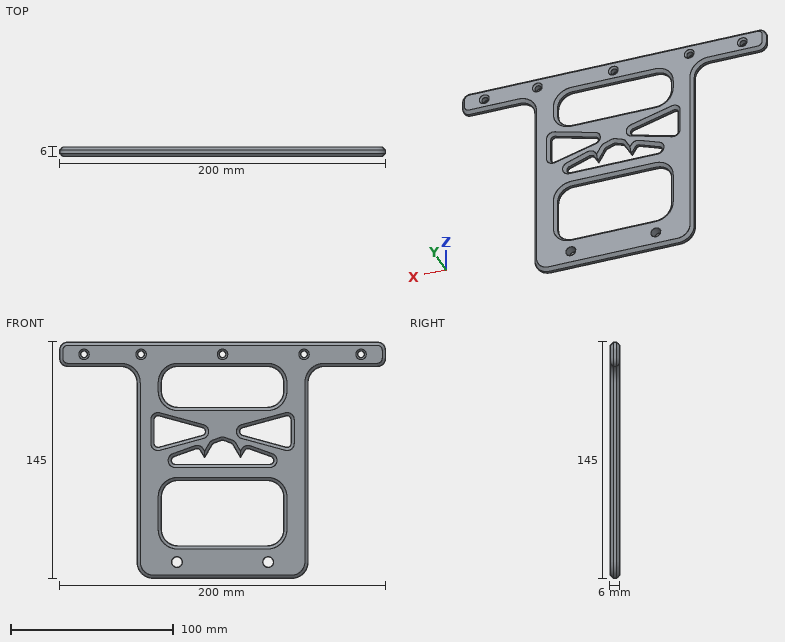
import cadquery as cq

thickness = 6.0
edge_chamfer = 2.0

bar_length = 200.0
bar_height = 15.0
bar_corner_radius = 5.0
plate_height = 145.0
body_width = 105.0
body_corner_radius = 10.0
neck_radius = 10.0

window_width = 75.0
window_radius = 10.0
upper_window_height = 25.0
lower_window_height = 40.0
foot_strip = 20.0

eye_center_z = 17.5
eye_outer_x = 42.0
eye_tip_x = 3.8
eye_half_height = 10.5

mouth_strip = 10.0
mouth_end_x = 42.8
cheek_peak = (14.5, 7.5)
tooth_tip = (11.0, 1.5)
roof_shoulder = (6.0, 10.2)
roof_peak_z = 12.5

small_radius = 2.5

bar_hole_diameter = 4.0
bar_hole_chamfer = 1.2
bar_hole_outer_x = 85.0
bar_hole_inner_x = 50.0
foot_hole_diameter = 6.5
foot_hole_x = 28.0
foot_hole_inset = 10.0

top_z = plate_height / 2
bottom_z = -plate_height / 2
bar_bottom_z = top_z - bar_height
bar_hole_z = top_z - bar_height / 2
foot_hole_z = bottom_z + foot_hole_inset
upper_window_z = bar_bottom_z - upper_window_height / 2
lower_window_z = bottom_z + foot_strip + lower_window_height / 2
mouth_bottom_z = bottom_z + foot_strip + lower_window_height + mouth_strip


def prism(points):
    """Extrude a closed XZ outline through the plate thickness."""
    return cq.Workplane("XZ").polyline(points).close().extrude(thickness / 2, both=True)


def round_corners(body, corners, radius):
    """Fillet the through-thickness edges standing at the given XZ corners."""
    for x, z in corners:
        body = body.edges(cq.selectors.NearestToPointSelector((x, 0, z))).fillet(radius)
    return body


def mirrored(points):
    """The same points on the other side of the YZ plane, in reverse order."""
    return [(-x, z) for x, z in reversed(points)]


def chamfer_both_faces(body):
    return body.faces("<Y or >Y").edges().chamfer(edge_chamfer)


def make_plate():
    half_bar = bar_length / 2
    half_body = body_width / 2
    bar_corners = [(half_bar, top_z), (half_bar, bar_bottom_z)]
    neck_corners = [(half_body, bar_bottom_z)]
    foot_corners = [(half_body, bottom_z)]
    right_side = bar_corners + neck_corners + foot_corners
    plate = prism(right_side + mirrored(right_side))
    for corners, radius in (
        (bar_corners, bar_corner_radius),
        (neck_corners, neck_radius),
        (foot_corners, body_corner_radius),
    ):
        plate = round_corners(plate, corners + mirrored(corners), radius)
    return plate


def make_window(height, center_z):
    window = cq.Workplane("XY").box(window_width, thickness, height)
    return window.edges("|Y").fillet(window_radius).translate((0, 0, center_z))


def make_eye(side):
    corners = [
        (side * eye_tip_x, eye_center_z),
        (side * eye_outer_x, eye_center_z + eye_half_height),
        (side * eye_outer_x, eye_center_z - eye_half_height),
    ]
    return prism(corners).edges("|Y").fillet(small_radius)


def make_mouth():
    right_side = [roof_shoulder, tooth_tip, cheek_peak, (mouth_end_x, mouth_bottom_z)]
    roof_peak = (0, roof_peak_z)
    mouth = prism([roof_peak] + right_side + mirrored(right_side))
    rounded = [corner for corner in right_side if corner != tooth_tip]
    return round_corners(mouth, [roof_peak] + rounded + mirrored(rounded), small_radius)


def make_holes(places, z, diameter):
    holes = cq.Workplane("XZ").pushPoints([(x, z) for x in places])
    return holes.circle(diameter / 2).extrude(thickness / 2, both=True)


result = make_plate()
windows = [
    make_window(upper_window_height, upper_window_z),
    make_window(lower_window_height, lower_window_z),
    make_eye(-1),
    make_eye(1),
    make_mouth(),
]
for window in windows:
    result = result.cut(window)
result = chamfer_both_faces(result)

bar_hole_places = [-bar_hole_outer_x, -bar_hole_inner_x, 0, bar_hole_inner_x, bar_hole_outer_x]
result = result.cut(make_holes(bar_hole_places, bar_hole_z, bar_hole_diameter))
bar_hole_rims = cq.selectors.BoxSelector(
    (-bar_length, -thickness, bar_hole_z - bar_hole_diameter),
    (bar_length, thickness, bar_hole_z + bar_hole_diameter),
)
result = result.edges("%CIRCLE").edges(bar_hole_rims).chamfer(bar_hole_chamfer)

result = result.cut(make_holes([-foot_hole_x, foot_hole_x], foot_hole_z, foot_hole_diameter))